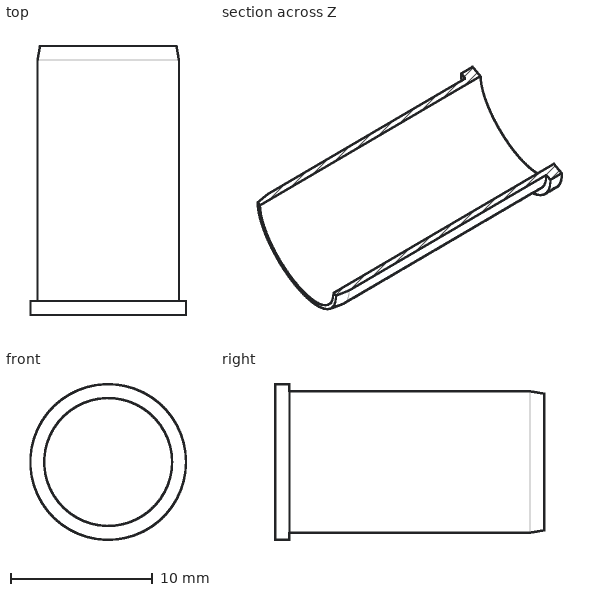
import cadquery as cq

length = 19.0
flange_diameter = 11.0
flange_thickness = 1.0
body_diameter = 10.0
bore_diameter = 9.0
taper_length = 1.0
taper_depth = 0.17

flange_radius = flange_diameter / 2
body_radius = body_diameter / 2
bore_radius = bore_diameter / 2

wall_section = (
    cq.Workplane("XY")
    .moveTo(bore_radius, 0)
    .lineTo(flange_radius, 0)
    .lineTo(flange_radius, flange_thickness)
    .lineTo(body_radius, flange_thickness)
    .lineTo(body_radius, length - taper_length)
    .lineTo(body_radius - taper_depth, length)
    .lineTo(bore_radius, length)
    .close()
)

result = wall_section.revolve(360, (0, 0, 0), (0, 1, 0))